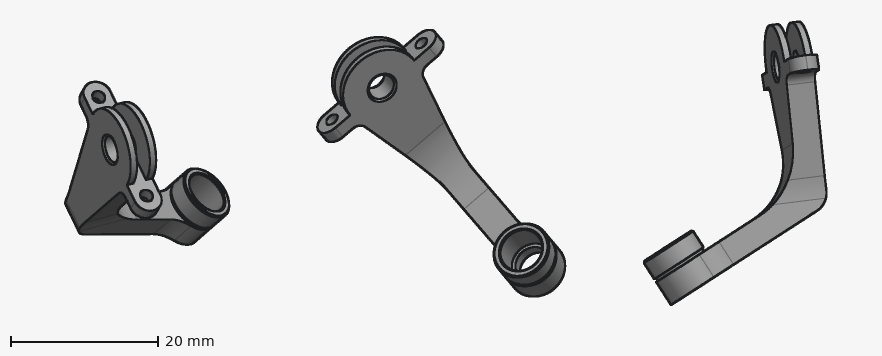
import cadquery as cq
import math

TILT = 34.8

PLATE_THICKNESS = 4.0
PLATE_MIDDLE = PLATE_THICKNESS / 2
HEAD_RADIUS = 5.75
PIVOT_HOLE_RADIUS = 1.85
PIVOT_CHAMFER = 0.3
SLOT_WIDTH = PLATE_THICKNESS / 2

TAB_HEIGHT = 2.0
TAB_REACH = 10.38
TAB_END_CLEARANCE = 0.003
TAB_END_RADIUS = PLATE_THICKNESS / 2 - TAB_END_CLEARANCE
TAB_HOLE_DIAMETER = 1.8
TAB_HOLE_OFFSET = 8.0
TAB_ROOT_FILLET = 1.5

ARM_WIDTH = 4.5
ARM_HALF = ARM_WIDTH / 2
TAPER_END = -17.35
TAPER_BLEND = 15.0
ARM_THICKNESS = 3.7
ARM_DROP = 25.0
BEND_OUTER_RADIUS = 3.0
BEND_INNER_RADIUS = 10.0

BARREL_Y = 19.57
BARREL_Z = -28.8
BARREL_RADIUS = 4.0
BARREL_HEIGHT = 7.0
BARREL_BLEND = 6.45
BARREL_CHAMFER = 0.2
GROOVE_DEPTH = 0.25
GROOVE_HEIGHT = 0.48
THROUGH_RADIUS = 2.48
BORE_RADIUS = 3.0
BORE_CHAMFER = 0.15
BORE_FLOOR = 2.0

drop = math.radians(ARM_DROP)
barrel_plane = cq.Plane(
    origin=(0, BARREL_Y, BARREL_Z),
    xDir=(1, 0, 0),
    normal=(0, math.sin(drop), math.cos(drop)),
)


def underside_z(y):
    """Height of the lower arm underside at a given Y."""
    return BARREL_Z + (BARREL_Y - y) * math.tan(drop)


def make_side_profile():
    """Constant-width bent bar, wide enough to be trimmed by the front outline."""
    rise = ARM_THICKNESS / math.cos(drop)
    bar = (
        cq.Workplane("YZ")
        .moveTo(0, HEAD_RADIUS)
        .lineTo(0, underside_z(0))
        .lineTo(BARREL_Y, BARREL_Z)
        .lineTo(
            BARREL_Y + ARM_THICKNESS * math.sin(drop),
            BARREL_Z + ARM_THICKNESS * math.cos(drop),
        )
        .lineTo(PLATE_THICKNESS, underside_z(PLATE_THICKNESS) + rise)
        .lineTo(PLATE_THICKNESS, HEAD_RADIUS)
        .close()
        .extrude(TAB_REACH, both=True)
    )
    outer_corner = cq.selectors.NearestToPointSelector((0, 0, underside_z(0)))
    inner_corner = cq.selectors.NearestToPointSelector(
        (0, PLATE_THICKNESS, underside_z(PLATE_THICKNESS) + rise)
    )
    bar = bar.edges("|X").edges(outer_corner).fillet(BEND_OUTER_RADIUS)
    return bar.edges("|X").edges(inner_corner).fillet(BEND_INNER_RADIUS)


def make_front_outline():
    """Round head, tabs, tapered plate and straight arm, extruded along Y."""
    depth = BARREL_Y + BARREL_RADIUS
    corner_distance = math.hypot(ARM_HALF, TAPER_END)
    taper = math.asin(HEAD_RADIUS / corner_distance) - math.atan2(ARM_HALF, -TAPER_END)
    root_x = ARM_HALF + (-TAB_HEIGHT - TAPER_END) * math.tan(taper)
    outline = (
        cq.Workplane("XZ")
        .moveTo(HEAD_RADIUS, 0)
        .threePointArc((0, HEAD_RADIUS), (-HEAD_RADIUS, 0))
        .lineTo(-TAB_REACH, 0)
        .lineTo(-TAB_REACH, -TAB_HEIGHT)
        .lineTo(-root_x, -TAB_HEIGHT)
        .lineTo(-ARM_HALF, TAPER_END)
        .lineTo(-ARM_HALF, BARREL_Z)
        .lineTo(ARM_HALF, BARREL_Z)
        .lineTo(ARM_HALF, TAPER_END)
        .lineTo(root_x, -TAB_HEIGHT)
        .lineTo(TAB_REACH, -TAB_HEIGHT)
        .lineTo(TAB_REACH, 0)
        .close()
        .extrude(-depth)
    )
    for side in (-1, 1):
        root = cq.selectors.NearestToPointSelector((side * root_x, depth / 2, -TAB_HEIGHT))
        outline = outline.edges("|Y").edges(root).fillet(TAB_ROOT_FILLET)
        taper_corner = cq.selectors.NearestToPointSelector((side * ARM_HALF, depth / 2, TAPER_END))
        outline = outline.edges("|Y").edges(taper_corner).fillet(TAPER_BLEND)
    return outline


def round_tab_ends(body):
    margin = PLATE_THICKNESS
    tab_edges = cq.selectors.BoxSelector(
        (-TAB_REACH - margin, -margin, -TAB_HEIGHT),
        (TAB_REACH + margin, PLATE_THICKNESS + margin, 0),
    )
    ends = body.faces("<X or >X").edges("|Z").edges(tab_edges)
    return ends.fillet(TAB_END_RADIUS)


def make_barrel():
    """Flared arm end with a grooved round boss standing on it."""
    blend_y = math.sqrt((BARREL_RADIUS + BARREL_BLEND) ** 2 - (ARM_HALF + BARREL_BLEND) ** 2)
    blend_x = ARM_HALF + BARREL_BLEND
    share = BARREL_RADIUS / (BARREL_RADIUS + BARREL_BLEND)
    tangent_x = blend_x * share
    tangent_y = -blend_y * share
    start_angle = math.pi
    end_angle = math.atan2(blend_y, -blend_x)
    middle_angle = (start_angle + end_angle) / 2
    middle_x = blend_x + BARREL_BLEND * math.cos(middle_angle)
    middle_y = -blend_y + BARREL_BLEND * math.sin(middle_angle)
    flare = (
        cq.Workplane(barrel_plane)
        .moveTo(-ARM_HALF, -blend_y)
        .threePointArc((-middle_x, middle_y), (-tangent_x, tangent_y))
        .threePointArc((0, BARREL_RADIUS), (tangent_x, tangent_y))
        .threePointArc((middle_x, middle_y), (ARM_HALF, -blend_y))
        .close()
        .extrude(ARM_THICKNESS)
    )
    neck = cq.Workplane(barrel_plane).circle(BARREL_RADIUS - GROOVE_DEPTH).extrude(BARREL_HEIGHT)
    boss = (
        cq.Workplane(barrel_plane)
        .workplane(offset=ARM_THICKNESS + GROOVE_HEIGHT)
        .circle(BARREL_RADIUS)
        .extrude(BARREL_HEIGHT - ARM_THICKNESS - GROOVE_HEIGHT)
        .faces(cq.selectors.DirectionMinMaxSelector(barrel_plane.zDir))
        .chamfer(BARREL_CHAMFER)
    )
    return flare.union(neck).union(boss)


def make_barrel_bore():
    """Stepped bore with a chamfered mouth, as one revolved cutter."""
    mouth = BORE_RADIUS + BORE_CHAMFER
    return (
        cq.Workplane(cq.Plane(barrel_plane.origin, xDir=(1, 0, 0), normal=-barrel_plane.yDir))
        .polyline([
            (0, 0),
            (THROUGH_RADIUS, 0),
            (THROUGH_RADIUS, BORE_FLOOR),
            (BORE_RADIUS, BORE_FLOOR),
            (BORE_RADIUS, BARREL_HEIGHT - BORE_CHAMFER),
            (mouth, BARREL_HEIGHT),
            (0, BARREL_HEIGHT),
        ])
        .close()
        .revolve(360, (0, 0), (0, 1))
    )


def make_pivot_cuts():
    """Chamfered pivot hole and the slot splitting the head above the tabs."""
    mouth = PIVOT_HOLE_RADIUS + PIVOT_CHAMFER
    hole = (
        cq.Workplane("XY")
        .polyline([
            (0, 0),
            (mouth, 0),
            (PIVOT_HOLE_RADIUS, PIVOT_CHAMFER),
            (PIVOT_HOLE_RADIUS, PLATE_THICKNESS - PIVOT_CHAMFER),
            (mouth, PLATE_THICKNESS),
            (0, PLATE_THICKNESS),
        ])
        .close()
        .revolve(360, (0, 0), (0, 1))
    )
    slot = (
        cq.Workplane("XY")
        .center(0, PLATE_MIDDLE)
        .rect(2 * TAB_REACH, SLOT_WIDTH)
        .extrude(HEAD_RADIUS)
    )
    return hole.union(slot)


def make_tab_holes():
    return (
        cq.Workplane("XY")
        .pushPoints([(side * TAB_HOLE_OFFSET, PLATE_MIDDLE) for side in (-1, 1)])
        .circle(TAB_HOLE_DIAMETER / 2)
        .extrude(-TAB_HEIGHT)
    )


crank = round_tab_ends(make_side_profile().intersect(make_front_outline()))
crank = crank.union(make_barrel())
crank = crank.cut(make_barrel_bore()).cut(make_pivot_cuts()).cut(make_tab_holes())
result = crank.rotate((0, 0, 0), (0, 1, 0), TILT)